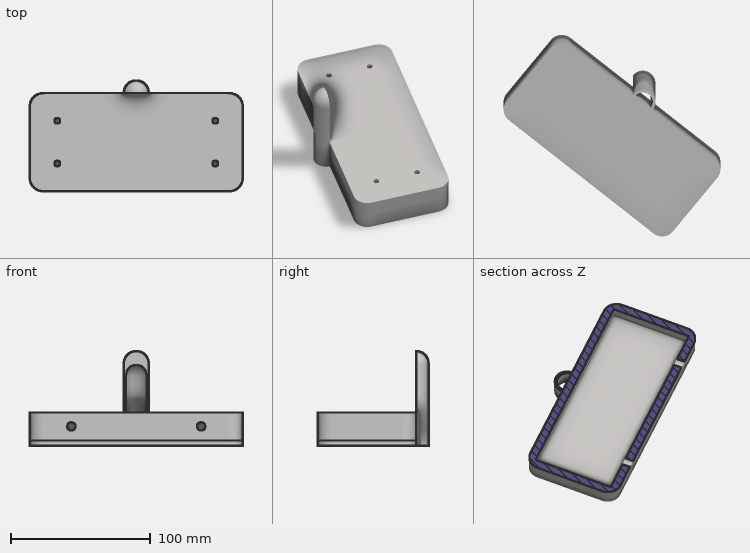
import cadquery as cq

length = 153.0
width = 70.5
block_height = 24.0
plate_thickness = 3.8
corner_radius = 10.0
housing_height = block_height - plate_thickness

side_wall = 6.1
top_wall = 3.0

stem_radius = 9.0
total_height = 68.0
stem_shoulder = total_height - stem_radius

channel_radius = 7.2
channel_top = 58.0
channel_shoulder = channel_top - channel_radius

top_hole_diameter = 4.1
top_hole_spacing_x = 113.2
top_hole_spacing_y = 30.6
front_hole_diameter = 6.0
front_hole_spacing = 93.0
front_hole_z = 13.9

back_y = width / 2
front_y = -width / 2


def rounded_block(bottom, height):
    """Rectangular slab with rounded vertical corners."""
    slab = cq.Workplane("XY", origin=(0, 0, bottom)).rect(length, width).extrude(height)
    return slab.edges("|Z").fillet(corner_radius)


def domed_rod(radius, bottom, shoulder):
    """Vertical rod on the stem axis, ending in a hemisphere above the shoulder."""
    rod = cq.Workplane("XY", origin=(0, back_y, bottom)).circle(radius).extrude(shoulder - bottom)
    dome = cq.Workplane("XY", origin=(0, back_y, shoulder)).sphere(radius)
    return rod.union(dome)


def make_stem():
    """Rear half of a domed rod, hollowed over its full length by a domed channel."""
    channel = domed_rod(channel_radius, 0, channel_shoulder)
    rear_half = cq.Workplane("XY", origin=(0, back_y + stem_radius / 2, 0)).box(
        2 * stem_radius, stem_radius, total_height, centered=(True, True, False)
    )
    return domed_rod(stem_radius, 0, stem_shoulder).intersect(rear_half).cut(channel)


def make_top_holes():
    """Four holes through the top wall."""
    return (
        cq.Workplane("XY", origin=(0, 0, block_height))
        .rect(top_hole_spacing_x, top_hole_spacing_y, forConstruction=True)
        .vertices()
        .circle(top_hole_diameter / 2)
        .extrude(-top_wall)
    )


def make_front_holes():
    """Two holes through the front wall."""
    return (
        cq.Workplane("XZ", origin=(0, front_y, front_hole_z))
        .pushPoints([(-front_hole_spacing / 2, 0), (front_hole_spacing / 2, 0)])
        .circle(front_hole_diameter / 2)
        .extrude(-side_wall)
    )


def make_cavity():
    """Square-cornered space between the side walls and below the top wall."""
    return cq.Workplane("XY", origin=(0, 0, plate_thickness)).box(
        length - 2 * side_wall, width - 2 * side_wall, housing_height - top_wall, centered=(True, True, False)
    )


def make_housing():
    """Hollow upper block with its mounting holes and the stem on its back face."""
    block = rounded_block(plate_thickness, housing_height)
    shell = block.cut(make_cavity()).union(make_stem())
    return shell.cut(make_top_holes()).cut(make_front_holes())


cover_plate = rounded_block(0, plate_thickness)
housing = make_housing()

result = cq.Compound.makeCompound([*cover_plate.vals(), *housing.vals()])